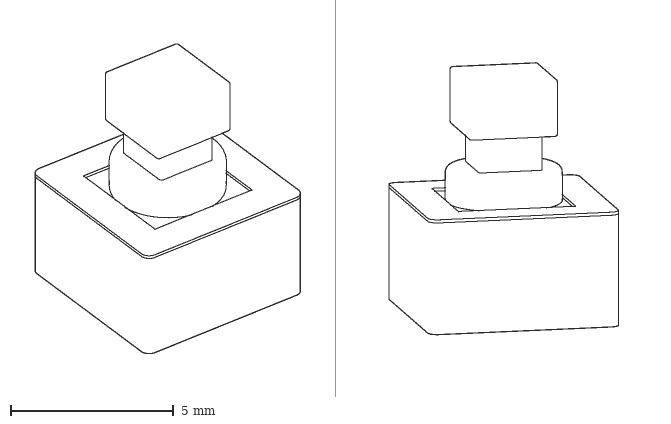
import cadquery as cq

housing_width = 6.0
housing_corner_radius = 0.3
cover_top = 3.6
cover_thickness = 0.1
window_width = 3.7
housing_height = cover_top - cover_thickness

collar_diameter = 3.6
collar_top = 4.6
collar_fillet = 0.2
neck_width = 2.0
head_width = 2.8
head_bottom = 5.7
head_top = 7.5
square_edge_fillet = 0.1


def square_block(width, bottom, top):
    """Square block centred on the Z axis between two heights."""
    return cq.Workplane("XY").workplane(offset=bottom).rect(width, width).extrude(top - bottom)


def make_housing():
    """Solid housing with rounded vertical corners."""
    return square_block(housing_width, 0, housing_height).edges("|Z").fillet(housing_corner_radius)


def make_cover():
    """Thin plate with the housing's outline and a square window around the plunger."""
    plate = square_block(housing_width, housing_height, cover_top)
    plate = plate.edges("|Z").fillet(housing_corner_radius)
    return plate.cut(square_block(window_width, housing_height, cover_top))


def make_plunger():
    """Collar standing on the housing, with the neck and the head above it."""
    collar = (
        cq.Workplane("XY")
        .workplane(offset=housing_height)
        .circle(collar_diameter / 2)
        .extrude(collar_top - housing_height)
        .faces(">Z")
        .edges()
        .fillet(collar_fillet)
    )
    neck = square_block(neck_width, collar_top, head_bottom).edges("|Z").fillet(square_edge_fillet)
    head = square_block(head_width, head_bottom, head_top).edges().fillet(square_edge_fillet)
    return collar.union(neck).union(head)


housing = make_housing()
cover = make_cover()
plunger = make_plunger()

result = cq.Compound.makeCompound([housing.val(), cover.val(), plunger.solids().val()])